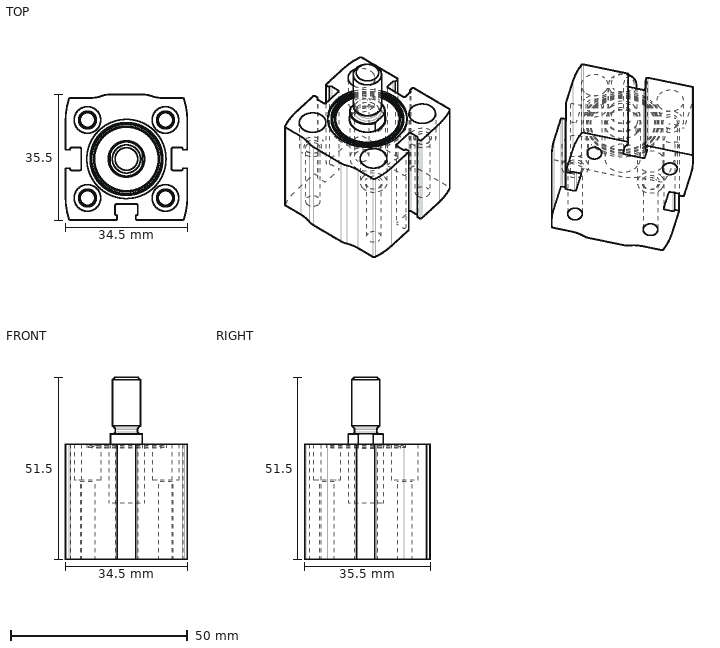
import cadquery as cq
import math

body_width = 34.5
body_height = 32.55
half_width = body_width / 2
flat_side_half = 10.8
side_bow_radius = 20.0
corner_radius = 0.5
pad_rise = 1.0
pad_half_width = 5.0
pad_outer_radius = 5.0
pad_inner_radius = 10.0

slot_half_width = 3.2
slot_depth = 4.5
slot_lip = 1.35
slot_fillet = 0.4
slot_mouth_fillet = 0.35
side_slot_half_opening = 2.6
front_slot_half_opening = 2.65

hole_offset = 11.0
counterbore_diameter = 7.5
counterbore_depth = 10.0
thread_mouth_diameter = 5.0
hole_diameter = 4.1

cap_recess_diameter = 22.4
cap_recess = 0.3
outer_groove_inner_radius = 10.3
outer_groove_depth = 0.5
inner_groove_mouth_radius = 10.0
inner_groove_chamfer = 0.15
inner_groove_inner_radius = 9.25
inner_groove_depth = 0.65
cap_edge_radius = 9.0
cap_edge_drop = 0.1
cap_face = body_height - cap_recess

rod_diameter = 10.0
rod_depth = 16.25
bore_chamfer = 0.15
collar_top = 35.5
collar_chamfer = 0.15
across_flats = 9.0
flat_length = 4.0
stud_diameter = 8.0
stud_bottom = 37.8
stud_top = 51.5
neck_diameter = 6.4
neck_upper_fillet = 0.7
neck_lower_fillet = 0.55

rod_radius = rod_diameter / 2
stud_chamfer = (stud_diameter - neck_diameter) / 2
rod_bottom = cap_face - rod_depth


def bowed_corner_x():
    """X of the corner where the bowed side meets the Y sides."""
    rise = half_width - flat_side_half
    return half_width - side_bow_radius + math.sqrt(side_bow_radius**2 - rise**2)


def bow_middle():
    """Point halfway along the bowed end in the +X, +Y corner."""
    rise_angle = math.asin((half_width - flat_side_half) / side_bow_radius) / 2
    x = half_width - side_bow_radius * (1 - math.cos(rise_angle))
    y = flat_side_half + side_bow_radius * math.sin(rise_angle)
    return x, y


def housing_block():
    corner_x = bowed_corner_x()
    bow_x, bow_y = bow_middle()
    block = (
        cq.Workplane("XY")
        .moveTo(-corner_x, -half_width)
        .lineTo(corner_x, -half_width)
        .threePointArc((bow_x, -bow_y), (half_width, -flat_side_half))
        .lineTo(half_width, flat_side_half)
        .threePointArc((bow_x, bow_y), (corner_x, half_width))
        .lineTo(-corner_x, half_width)
        .threePointArc((-bow_x, bow_y), (-half_width, flat_side_half))
        .lineTo(-half_width, -flat_side_half)
        .threePointArc((-bow_x, -bow_y), (-corner_x, -half_width))
        .close()
        .extrude(body_height)
    )
    return block.edges("|Z").edges(">Y or <Y").fillet(corner_radius)


def pad():
    """Raised pad on the +Y side, blended into it by a pair of tangent arcs at each end."""
    radius_sum = pad_outer_radius + pad_inner_radius
    slope = math.acos(1 - pad_rise / radius_sum)
    top = half_width + pad_rise
    foot_x = pad_half_width + radius_sum * math.sin(slope)
    join_x = pad_half_width + pad_outer_radius * math.sin(slope)
    join_y = top - pad_outer_radius * (1 - math.cos(slope))
    shoulder_x = pad_half_width + pad_outer_radius * math.sin(slope / 2)
    shoulder_y = top - pad_outer_radius * (1 - math.cos(slope / 2))
    hollow_x = foot_x - pad_inner_radius * math.sin(slope / 2)
    hollow_y = half_width + pad_inner_radius * (1 - math.cos(slope / 2))
    return (
        cq.Workplane("XY")
        .moveTo(-foot_x, half_width)
        .threePointArc((-hollow_x, hollow_y), (-join_x, join_y))
        .threePointArc((-shoulder_x, shoulder_y), (-pad_half_width, top))
        .lineTo(pad_half_width, top)
        .threePointArc((shoulder_x, shoulder_y), (join_x, join_y))
        .threePointArc((hollow_x, hollow_y), (foot_x, half_width))
        .lineTo(foot_x, flat_side_half)
        .lineTo(-foot_x, flat_side_half)
        .close()
        .extrude(body_height)
    )


def slot_cutter(half_opening, turn):
    """T-slot in the -Y side, turned about the axis to the side it belongs to."""
    floor = -half_width + slot_depth
    undercut = -half_width + slot_lip
    chamber = (
        cq.Workplane("XY")
        .rect(2 * slot_half_width, floor - undercut)
        .extrude(body_height)
        .edges("|Z")
        .fillet(slot_fillet)
        .translate((0, (floor + undercut) / 2, 0))
    )
    mouth_half = half_opening + slot_mouth_fillet
    arc_top = -half_width + slot_mouth_fillet
    arc_mid_inset = slot_mouth_fillet * math.sqrt(0.5)
    opening = (
        cq.Workplane("XY")
        .moveTo(-mouth_half, -half_width)
        .lineTo(mouth_half, -half_width)
        .threePointArc((mouth_half - arc_mid_inset, arc_top - arc_mid_inset), (half_opening, arc_top))
        .lineTo(half_opening, floor - slot_fillet)
        .lineTo(-half_opening, floor - slot_fillet)
        .lineTo(-half_opening, arc_top)
        .threePointArc((arc_mid_inset - mouth_half, arc_top - arc_mid_inset), (-mouth_half, -half_width))
        .close()
        .extrude(body_height)
    )
    return chamber.union(opening).rotate((0, 0, 0), (0, 0, 1), turn)


def mounting_hole_cutter(x, y):
    shoulder = body_height - counterbore_depth
    mouth_depth = (thread_mouth_diameter - hole_diameter) / 2
    return (
        cq.Workplane("XZ")
        .polyline([
            (0, 0),
            (hole_diameter / 2, 0),
            (hole_diameter / 2, shoulder - mouth_depth),
            (thread_mouth_diameter / 2, shoulder),
            (counterbore_diameter / 2, shoulder),
            (counterbore_diameter / 2, body_height),
            (0, body_height),
        ])
        .close()
        .revolve(360, (0, 0, 0), (0, 1, 0))
        .translate((x, y, 0))
    )


def cap_and_bore_cutter():
    """Recessed end face with two ring grooves, and the blind bore for the rod."""
    recess_radius = cap_recess_diameter / 2
    inner_groove_wall = inner_groove_mouth_radius - inner_groove_chamfer
    return (
        cq.Workplane("XZ")
        .polyline([
            (0, rod_bottom),
            (rod_radius, rod_bottom),
            (rod_radius, cap_face - bore_chamfer),
            (rod_radius + bore_chamfer, cap_face),
            (cap_edge_radius, cap_face),
            (inner_groove_inner_radius, cap_face - cap_edge_drop),
            (inner_groove_wall, cap_face - inner_groove_depth),
            (inner_groove_wall, cap_face - inner_groove_chamfer),
            (inner_groove_mouth_radius, cap_face),
            (outer_groove_inner_radius, cap_face),
            (recess_radius, cap_face - outer_groove_depth),
            (recess_radius, body_height),
            (0, body_height),
        ])
        .close()
        .revolve(360, (0, 0, 0), (0, 1, 0))
    )


def make_housing():
    body = housing_block().union(pad())
    body = body.cut(slot_cutter(front_slot_half_opening, 0))
    for turn in (90, -90):
        body = body.cut(slot_cutter(side_slot_half_opening, turn))
    for x in (-hole_offset, hole_offset):
        for y in (-hole_offset, hole_offset):
            body = body.cut(mounting_hole_cutter(x, y))
    return body.cut(cap_and_bore_cutter())


def rod_turning():
    """Turned shape of the rod: shank and collar, relief neck, chamfered stud."""
    stud_radius = stud_diameter / 2
    neck_radius = neck_diameter / 2
    cone_bottom = stud_bottom - stud_chamfer

    half_turn = math.pi / 8
    tangent_length = neck_upper_fillet * math.tan(half_turn)
    cone_step = tangent_length * math.sqrt(0.5)
    upper_start = cone_bottom - tangent_length
    upper_mid = (
        neck_radius + neck_upper_fillet * (1 - math.cos(half_turn)),
        upper_start + neck_upper_fillet * math.sin(half_turn),
    )

    lower_mid_offset = neck_lower_fillet * (1 - math.sqrt(0.5))

    return (
        cq.Workplane("XZ")
        .moveTo(0, rod_bottom)
        .lineTo(rod_radius, rod_bottom)
        .lineTo(rod_radius, collar_top - collar_chamfer)
        .lineTo(rod_radius - collar_chamfer, collar_top)
        .lineTo(neck_radius + neck_lower_fillet, collar_top)
        .threePointArc(
            (neck_radius + lower_mid_offset, collar_top + lower_mid_offset),
            (neck_radius, collar_top + neck_lower_fillet),
        )
        .lineTo(neck_radius, upper_start)
        .threePointArc(upper_mid, (neck_radius + cone_step, cone_bottom + cone_step))
        .lineTo(stud_radius, stud_bottom)
        .lineTo(stud_radius, stud_top - stud_chamfer)
        .lineTo(stud_radius - stud_chamfer, stud_top)
        .lineTo(0, stud_top)
        .close()
        .revolve(360, (0, 0, 0), (0, 1, 0))
    )


def make_rod():
    rod = rod_turning()
    for side in (-1, 1):
        flat = (
            cq.Workplane("XY")
            .box(rod_diameter, rod_diameter, flat_length, centered=(True, True, False))
            .translate((side * (across_flats + rod_diameter) / 2, 0, collar_top - flat_length))
        )
        rod = rod.cut(flat)
    return rod


housing = make_housing()
piston_rod = make_rod()
result = cq.Compound.makeCompound([housing.val(), piston_rod.val()])